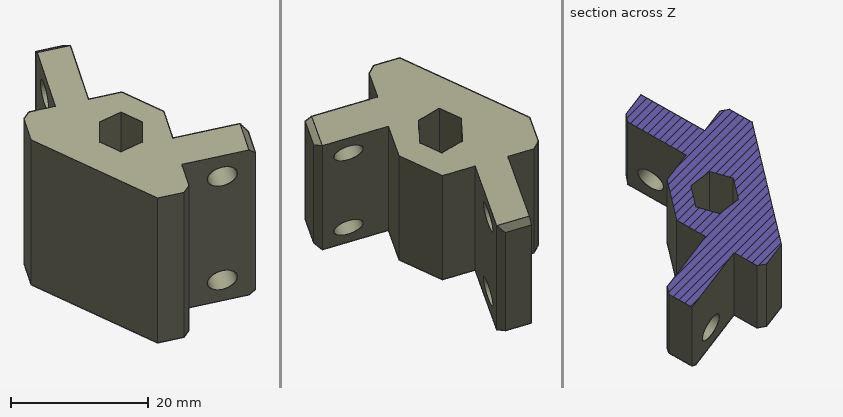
import cadquery as cq

height = 35.0
body_size = 20.0
inner_bevel = 5.0
outer_bevel = 15.0
corner_chamfer = 1.0
half_body = body_size / 2

flange_length = 11.1
flange_thickness = 5.0
flange_setback = 5.0
flange_end_chamfer = 1.0
hole_diameter = 4.5
hole_end_distance = 5.0

hex_corner_diameter = 7.2
hex_offset = 3.0
hex_rotation = 45.0


def make_body():
    """Square prism with bevelled corners, one large bevel on the outer corner."""
    h = half_body
    c = corner_chamfer
    outline = [
        (-h, h - inner_bevel),
        (-h + inner_bevel, h),
        (h - c, h),
        (h, h - c),
        (h, -h + outer_bevel),
        (h - outer_bevel, -h),
        (-h + c, -h),
        (-h, -h + c),
    ]
    return cq.Workplane("XY").polyline(outline).close().extrude(height)


def make_flange():
    """Flange reaching out in -X, chamfered on three edges of its end face, with two holes."""
    end_x = -half_body - flange_length
    low_y = -half_body + flange_setback
    high_y = low_y + flange_thickness
    flange = (
        cq.Workplane("XY", origin=(end_x, low_y, 0))
        .box(flange_length, flange_thickness, height, centered=False)
        .faces("<X")
        .edges("<Z or >Z or >Y")
        .chamfer(flange_end_chamfer)
    )
    hole_x = end_x + hole_end_distance
    hole_heights = (hole_end_distance, height - hole_end_distance)
    holes = (
        cq.Workplane("XZ", origin=(0, high_y, 0))
        .pushPoints([(hole_x, z) for z in hole_heights])
        .circle(hole_diameter / 2)
        .extrude(flange_thickness)
    )
    return flange.cut(holes)


def mirror_across_symmetry_line(shape):
    """Reflect (x, y) to (-y, -x)."""
    return shape.mirror("YZ").rotate((0, 0, 0), (0, 0, 1), 90)


def make_hex_hole():
    """Hexagonal prism to be cut through the full height of the body."""
    return (
        cq.Workplane("XY")
        .polygon(6, hex_corner_diameter)
        .extrude(height)
        .rotate((0, 0, 0), (0, 0, 1), hex_rotation)
        .translate((-hex_offset, hex_offset, 0))
    )


flange = make_flange()
result = (
    make_body()
    .union(flange)
    .union(mirror_across_symmetry_line(flange))
    .cut(make_hex_hole())
)